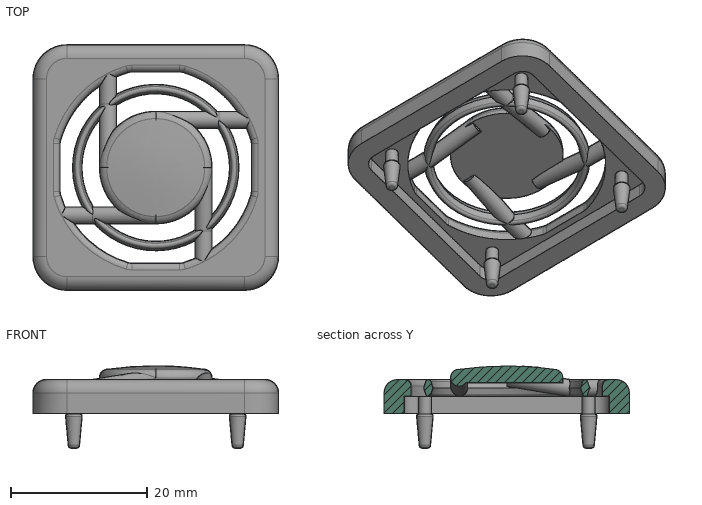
import cadquery as cq
import math

frame_size = 36.0
frame_height = 5.0
frame_corner_radius = 5.0
frame_edge_radius = 2.0
frame_wall = 3.0
frame_roof = 2.5
cavity_height = frame_height - frame_roof

opening_radius = 14.5
opening_width = 28.0
opening_corner_radius = 2.0
opening_edge_radius = 1.0

hub_radius = 8.25
hub_bottom = 4.5
hub_top = 7.0
hub_edge_radius = 1.25
dome_radius = 50.0
hub_rim_radius = hub_radius - hub_edge_radius
hub_rim_height = hub_top - dome_radius + math.sqrt((dome_radius - hub_edge_radius) ** 2 - hub_rim_radius**2)

spoke_count = 4
spoke_radius = hub_edge_radius
spoke_offset = hub_rim_radius
spoke_bend = 9.2
spoke_outer_height = frame_height - spoke_radius
spoke_inner_height = hub_rim_height
spoke_end = math.sqrt((opening_radius + opening_edge_radius) ** 2 - spoke_offset**2)

ring_radius = 11.5
ring_half_width = 0.7
ring_half_height = spoke_radius
ring_crest_radius = 0.4
ring_mid_height = spoke_outer_height

pin_spacing = 24.0
pin_top = -0.1
pin_length = 5.0
pin_top_radius = 1.25
pin_tip_radius = 0.8
pin_top_round = 0.3
pin_tip_round = 0.5
post_radius = pin_top_radius - pin_top_round


def make_opening():
    circle = cq.Workplane("XY").circle(opening_radius).extrude(frame_height)
    square = cq.Workplane("XY").rect(opening_width, opening_width).extrude(frame_height)
    return circle.intersect(square).edges("|Z").fillet(opening_corner_radius)


def make_rounded_block(size, height, corner_radius):
    return cq.Workplane("XY").rect(size, size).extrude(height).edges("|Z").fillet(corner_radius)


def make_frame():
    plate = make_rounded_block(frame_size, frame_height, frame_corner_radius)
    plate = plate.faces(">Z").edges().fillet(frame_edge_radius)
    plate = plate.cut(make_opening())
    rim = cq.selectors.BoxSelector(
        (-opening_radius, -opening_radius, frame_height - opening_edge_radius),
        (opening_radius, opening_radius, frame_height + opening_edge_radius),
    )
    plate = plate.edges(rim).fillet(opening_edge_radius)
    cavity = make_rounded_block(frame_size - 2 * frame_wall, cavity_height, frame_corner_radius - frame_wall)
    return plate.cut(cavity)


def make_hub():
    disc = cq.Workplane("XY").workplane(offset=hub_bottom).circle(hub_radius).extrude(hub_top - hub_bottom)
    ball = cq.Workplane("XY").sphere(dome_radius).translate((0, 0, hub_top - dome_radius))
    return disc.intersect(ball).faces(">Z").edges().fillet(hub_edge_radius)


def make_spoke():
    """Bar along Y at X = -spoke_offset, trimmed flat at Y = 0 where it meets the hub rim."""
    rise = (spoke_inner_height - spoke_outer_height) / spoke_bend
    path = (
        cq.Workplane("YZ", origin=(-spoke_offset, 0, 0))
        .moveTo(spoke_end, spoke_outer_height)
        .lineTo(spoke_bend, spoke_outer_height)
        .lineTo(-spoke_radius, spoke_inner_height + rise * spoke_radius)
    )
    profile = cq.Workplane("XZ", origin=(-spoke_offset, spoke_end, spoke_outer_height)).circle(spoke_radius)
    bar = profile.sweep(path, transition="right")
    keep = cq.Workplane("XY").box(frame_size, spoke_end, frame_size, centered=(True, False, True))
    return bar.intersect(keep)


def make_ring():
    crest_center = ring_half_height - ring_crest_radius
    reach = math.hypot(ring_half_width, crest_center)
    draft = math.acos(ring_crest_radius / reach) - math.atan2(crest_center, ring_half_width)
    tangent_x = ring_crest_radius * math.cos(draft)
    tangent_z = crest_center + ring_crest_radius * math.sin(draft)
    profile = (
        cq.Workplane("XZ", origin=(ring_radius, 0, ring_mid_height))
        .moveTo(ring_half_width, 0)
        .lineTo(tangent_x, tangent_z)
        .threePointArc((0, ring_half_height), (-tangent_x, tangent_z))
        .lineTo(-ring_half_width, 0)
        .lineTo(-tangent_x, -tangent_z)
        .threePointArc((0, -ring_half_height), (tangent_x, -tangent_z))
        .close()
    )
    return profile.revolve(360, (-ring_radius, 0), (-ring_radius, 1))


def make_pin():
    peg = (
        cq.Workplane("XY", origin=(0, 0, pin_top))
        .circle(pin_top_radius)
        .workplane(offset=-pin_length)
        .circle(pin_tip_radius)
        .loft()
    )
    peg = peg.faces(">Z").edges().fillet(pin_top_round)
    peg = peg.faces("<Z").edges().fillet(pin_tip_round)
    post = cq.Workplane("XY", origin=(0, 0, pin_top)).circle(post_radius).extrude(cavity_height - pin_top)
    return peg.union(post)


def make_cover():
    cover = make_frame().union(make_hub())
    spoke = make_spoke()
    for index in range(spoke_count):
        cover = cover.union(spoke.rotate((0, 0, 0), (0, 0, 1), index * 360 / spoke_count))
    cover = cover.union(make_ring())
    pin = make_pin()
    for x in (-pin_spacing / 2, pin_spacing / 2):
        for y in (-pin_spacing / 2, pin_spacing / 2):
            cover = cover.union(pin.translate((x, y, 0)))
    return cover.solids()


result = make_cover()